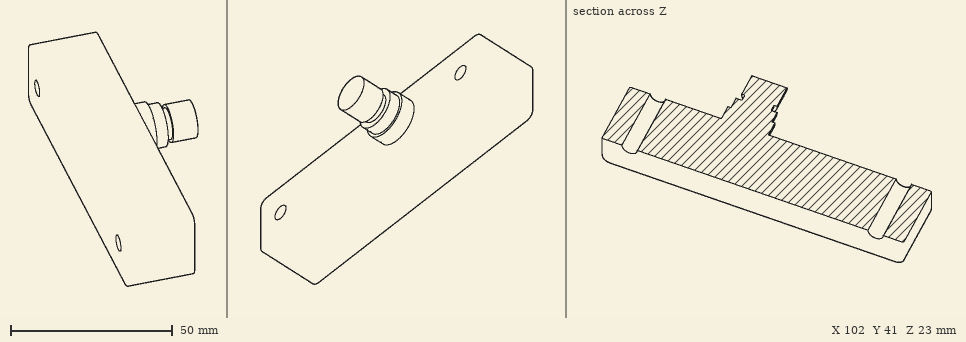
import cadquery as cq

length = 102.0
depth = 21.9
height = 23.0
corner_radius = 3.0
rim_fillet = 0.5

hole_diameter = 5.1
hole_spacing = 83.0

connector_x = -12.1
connector_steps = [
    (16.0, 5.1),
    (14.0, 4.0),
    (10.0, 2.0),
    (12.0, 8.0),
]


def make_housing():
    block = cq.Workplane("XY").box(length, depth, height, centered=(True, False, True))
    rounded = block.edges("|Y").fillet(corner_radius)
    return rounded.faces("<Y or >Y").edges().fillet(rim_fillet)


def make_rod(x, y_start, diameter, rod_length):
    """Cylinder along +Y, centred on the mid-height of the housing."""
    start = cq.Vector(x, y_start, 0)
    direction = cq.Vector(0, 1, 0)
    return cq.Workplane(obj=cq.Solid.makeCylinder(diameter / 2, rod_length, start, direction))


result = make_housing()

for hole_x in (-hole_spacing / 2, hole_spacing / 2):
    result = result.cut(make_rod(hole_x, 0, hole_diameter, depth))

step_start = depth
for step_diameter, step_length in connector_steps:
    result = result.union(make_rod(connector_x, step_start, step_diameter, step_length))
    step_start += step_length